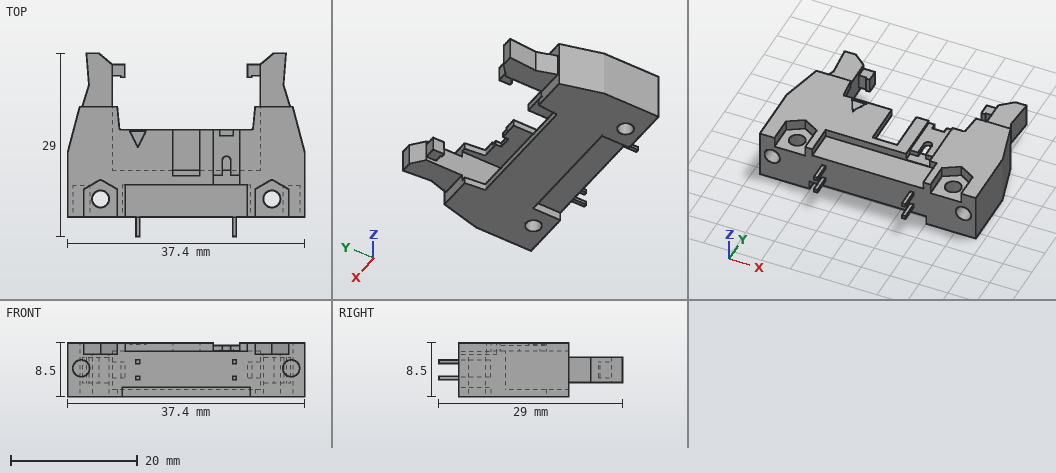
import cadquery as cq
import math


LENGTH = 37.4
HEIGHT = 8.5
OVERALL_DEPTH = 28.95
PIN_TAIL = 3.1
MID_Z = HEIGHT / 2
TAPER_Y = 10.2
WALL_Y = 13.8
TOWER_Y = 17.4
TOWER_OUTER_X = 16.8
TOWER_INNER_X = 10.85
WALL_HALF = 10.5
TOWER_ROOT_FILLET = 0.2

WALL = 1.2
CAVITY_FLOOR_Y = 7.4

NOTCH_WIDTH = 4.25
NOTCH_END_Y = 6.5

TOP_RECESS_WIDTH = 19.2
TOP_RECESS_HEIGHT = 1.3
BOTTOM_RECESS_WIDTH = 20.2
BOTTOM_RECESS_HEIGHT = 1.55
RECESS_Y = 5.1

KEY_X = 6.35
KEY_WIDTH = 4.1
KEY_DEPTH = 0.4
KEY_STEP_Y = 6.6
KEY_SLOT_WIDTH = 1.3
KEY_SLOT_END_Y = 9.6
KEY_LIP_WIDTH = 2.1
KEY_LIP_LENGTH = 1.0

MOUNT_X = 13.5
MOUNT_Y = 2.85
MOUNT_DIAMETER = 2.65
NUT_WIDTH = 5.3
NUT_DEPTH = 1.8

FRONT_HOLE_X = 16.55
FRONT_HOLE_Z = 4.5
FRONT_HOLE_DIAMETER = 2.65
FRONT_HOLE_DEPTH = 5.0

PIN_SIZE = 0.6
PIN_PITCH = 2.54
PIN_X = 3 * PIN_PITCH

MARK_WIDTH = 2.56
MARK_TOP_Y = 13.55
MARK_DEPTH = 0.2

LEVER_THICKNESS = 4.0
LEVER_TIP_Y = OVERALL_DEPTH - PIN_TAIL
LEVER_INNER_X = 11.65
LEVER_BASE_X = 16.4
LEVER_WAIST_X = 15.35
LEVER_WAIST_Y = 20.8
LEVER_TIP_OUTER_X = 15.75
LEVER_TIP_INNER_X = 13.8
HOOK_TOP_Y = 24.05
HOOK_BOTTOM_Y = 22.25
HOOK_END_X = 9.65
HOOK_LIP_X = 10.35
HOOK_LIP_Y = 22.0
HOOK_THICKNESS = 2.55


def block(x_range, y_range, z_range):
    """Box spanning the given (low, high) ranges."""
    size = [high - low for low, high in (x_range, y_range, z_range)]
    low_corner = (x_range[0], y_range[0], z_range[0])
    return cq.Workplane("XY").box(*size, centered=False).translate(low_corner)


def centred(middle, width):
    """(low, high) range of a width placed about a middle."""
    return middle - width / 2, middle + width / 2


def plate(points, z_low, thickness):
    """Prism with a closed XY outline."""
    return cq.Workplane("XY").workplane(offset=z_low).polyline(points).close().extrude(thickness)


def make_housing():
    half = [
        (LENGTH / 2, 0),
        (LENGTH / 2, TAPER_Y),
        (TOWER_OUTER_X, TOWER_Y),
        (TOWER_INNER_X, TOWER_Y),
        (WALL_HALF, WALL_Y),
    ]
    mirrored = [(-x, y) for x, y in reversed(half)]
    body = plate(half + mirrored, 0, HEIGHT)
    root_box = cq.selectors.BoxSelector((-TOWER_INNER_X, TAPER_Y, 0), (TOWER_INNER_X, TOWER_Y, HEIGHT))
    return body.edges("|Z").edges(root_box).fillet(TOWER_ROOT_FILLET)


def cut_cavity(body):
    cavity = block(
        (-LEVER_INNER_X, LEVER_INNER_X), (CAVITY_FLOOR_Y, TOWER_Y), (WALL, HEIGHT - WALL)
    )
    notch = block(centred(0, NOTCH_WIDTH), (NOTCH_END_Y, WALL_Y), (HEIGHT - WALL, HEIGHT))
    return body.cut(cavity).cut(notch)


def cut_front_recesses(body):
    top = block(centred(0, TOP_RECESS_WIDTH), (0, RECESS_Y), (HEIGHT - TOP_RECESS_HEIGHT, HEIGHT))
    bottom = block(centred(0, BOTTOM_RECESS_WIDTH), (0, RECESS_Y), (0, BOTTOM_RECESS_HEIGHT))
    return body.cut(top).cut(bottom)


def cut_key_channel(body):
    wall_z = (HEIGHT - WALL, HEIGHT)
    channel = block(centred(KEY_X, KEY_WIDTH), (RECESS_Y, WALL_Y), (HEIGHT - KEY_DEPTH, HEIGHT))
    step = block(centred(KEY_X, KEY_WIDTH), (RECESS_Y, KEY_STEP_Y), wall_z)
    slot_centre_y = KEY_SLOT_END_Y - KEY_SLOT_WIDTH / 2
    slot = block(centred(KEY_X, KEY_SLOT_WIDTH), (KEY_STEP_Y, slot_centre_y), wall_z)
    slot_end = (
        cq.Workplane("XY")
        .workplane(offset=HEIGHT - WALL)
        .center(KEY_X, slot_centre_y)
        .circle(KEY_SLOT_WIDTH / 2)
        .extrude(WALL)
    )
    lip_notch = block(centred(KEY_X, KEY_LIP_WIDTH), (WALL_Y - KEY_LIP_LENGTH, WALL_Y), wall_z)
    for tool in (channel, step, slot, slot_end, lip_notch):
        body = body.cut(tool)
    return body


def cut_mounts(body):
    nut_corner_radius = NUT_WIDTH / math.sqrt(3)
    for x in (-MOUNT_X, MOUNT_X):
        left, right = centred(x, NUT_WIDTH)
        shoulder_y = MOUNT_Y + nut_corner_radius / 2
        outline = [
            (left, 0),
            (right, 0),
            (right, shoulder_y),
            (x, MOUNT_Y + nut_corner_radius),
            (left, shoulder_y),
        ]
        hole = cq.Workplane("XY").center(x, MOUNT_Y).circle(MOUNT_DIAMETER / 2).extrude(HEIGHT)
        body = body.cut(plate(outline, HEIGHT - NUT_DEPTH, NUT_DEPTH)).cut(hole)
    return body


def cut_front_holes(body):
    holes = (
        cq.Workplane("XZ")
        .pushPoints([(-FRONT_HOLE_X, FRONT_HOLE_Z), (FRONT_HOLE_X, FRONT_HOLE_Z)])
        .circle(FRONT_HOLE_DIAMETER / 2)
        .extrude(-FRONT_HOLE_DEPTH)
    )
    return body.cut(holes)


def cut_pin_one_mark(body):
    left, right = centred(-PIN_X, MARK_WIDTH)
    outline = [(left, MARK_TOP_Y), (right, MARK_TOP_Y), (-PIN_X, MARK_TOP_Y - MARK_WIDTH)]
    return body.cut(plate(outline, HEIGHT - MARK_DEPTH, MARK_DEPTH))


def add_pins(body):
    for x in (-PIN_X, PIN_X):
        for z in (MID_Z - PIN_PITCH / 2, MID_Z + PIN_PITCH / 2):
            body = body.union(block(centred(x, PIN_SIZE), (-PIN_TAIL, 0), centred(z, PIN_SIZE)))
    return body


def make_lever():
    """Lever on the +X side with its inward hook."""
    arm_outline = [
        (LEVER_INNER_X, TOWER_Y),
        (LEVER_BASE_X, TOWER_Y),
        (LEVER_WAIST_X, LEVER_WAIST_Y),
        (LEVER_TIP_OUTER_X, LEVER_TIP_Y),
        (LEVER_TIP_INNER_X, LEVER_TIP_Y),
        (LEVER_INNER_X, HOOK_TOP_Y),
    ]
    hook_outline = [
        (LEVER_INNER_X, HOOK_TOP_Y),
        (HOOK_END_X, HOOK_TOP_Y),
        (HOOK_END_X, HOOK_LIP_Y),
        (HOOK_LIP_X, HOOK_LIP_Y),
        (HOOK_LIP_X, HOOK_BOTTOM_Y),
        (LEVER_INNER_X, HOOK_BOTTOM_Y),
    ]
    arm = plate(arm_outline, MID_Z - LEVER_THICKNESS / 2, LEVER_THICKNESS)
    hook = plate(hook_outline, MID_Z - HOOK_THICKNESS / 2, HOOK_THICKNESS)
    return arm.union(hook)


housing = make_housing()
housing = cut_cavity(housing)
housing = cut_front_recesses(housing)
housing = cut_key_channel(housing)
housing = cut_mounts(housing)
housing = cut_front_holes(housing)
housing = cut_pin_one_mark(housing)
housing = add_pins(housing)
lever = make_lever()
result = housing.union(lever).union(lever.mirror("YZ"))